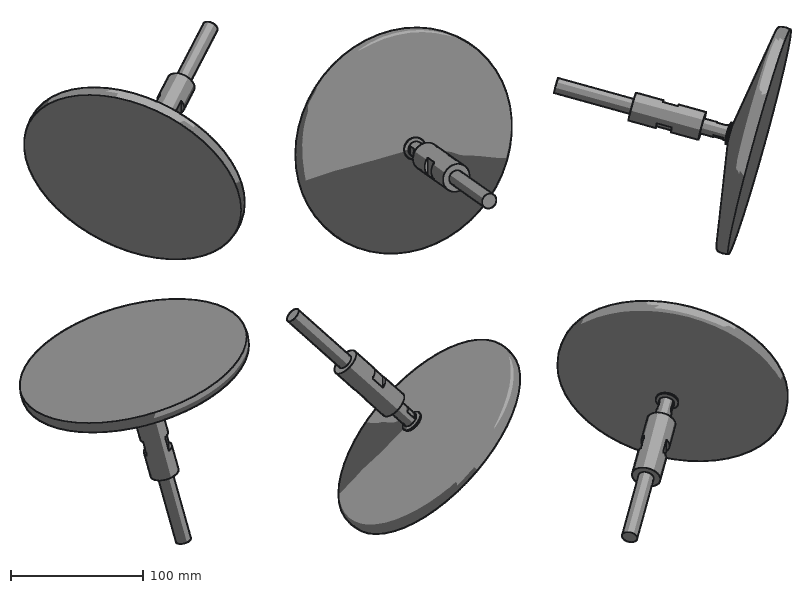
import cadquery as cq

overall_length = 160.0
rim_widest_y = 4.3
rim_shoulder_y = 7.1
cone_start_y = 9.8
cone_end_y = 22.8
neck_top_y = 23.5
collar_edge_y = 24.4
collar_top_y = 25.5

foot_diameter = 178.0
underside_diameter = 177.0
shoulder_diameter = 177.3
cone_start_diameter = 172.3
cone_end_diameter = 17.5
neck_diameter = 16.7
collar_diameter = 17.6

spindle_diameter = 12.0
spindle_flat_width = 10.0
spindle_flat_length = 7.8
spindle_flat_start_y = 27.0

sleeve_diameter = 22.0
sleeve_length = 55.0
sleeve_start_y = 45.0
sleeve_flat_width = 17.0
sleeve_flat_length = 12.0
sleeve_flat_start_y = sleeve_start_y + (sleeve_length - sleeve_flat_length) / 2


def rod(diameter, start_y, length):
    """Cylinder along +Y, centred on the Y axis."""
    return (
        cq.Workplane("XZ", origin=(0, start_y, 0))
        .circle(diameter / 2)
        .extrude(-length)
    )


def cut_wrench_flats(body, diameter, flat_width, start_y, length):
    """Cut a pair of parallel flats facing -X and +X."""
    middle_y = start_y + length / 2
    for side in (-1, 1):
        cutter_x = side * (flat_width + diameter) / 2
        cutter = cq.Workplane("XY", origin=(cutter_x, middle_y, 0)).box(diameter, length, 2 * diameter)
        body = body.cut(cutter)
    return body


def make_foot():
    """Conical foot with a rounded rim and a small flared collar under the spindle."""
    return (
        cq.Workplane("XY")
        .lineTo(underside_diameter / 2, 0)
        .lineTo(foot_diameter / 2, rim_widest_y)
        .lineTo(shoulder_diameter / 2, rim_shoulder_y)
        .tangentArcPoint((cone_start_diameter / 2, cone_start_y), relative=False)
        .lineTo(cone_end_diameter / 2, cone_end_y)
        .lineTo(neck_diameter / 2, cone_end_y)
        .lineTo(neck_diameter / 2, neck_top_y)
        .lineTo(collar_diameter / 2, collar_edge_y)
        .lineTo(spindle_diameter / 2, collar_top_y)
        .lineTo(0, collar_top_y)
        .close()
        .revolve(360, (0, 0, 0), (0, 1, 0))
    )


def make_spindle():
    """Plain round spindle standing on the collar, with wrench flats near its lower end."""
    body = rod(spindle_diameter, collar_top_y, overall_length - collar_top_y)
    return cut_wrench_flats(
        body, spindle_diameter, spindle_flat_width, spindle_flat_start_y, spindle_flat_length
    )


def make_sleeve():
    """Sleeve around the spindle, with wrench flats at half its length."""
    body = rod(sleeve_diameter, sleeve_start_y, sleeve_length)
    body = cut_wrench_flats(
        body, sleeve_diameter, sleeve_flat_width, sleeve_flat_start_y, sleeve_flat_length
    )
    bore = rod(spindle_diameter, sleeve_start_y, sleeve_length)
    return body.cut(bore)


foot = make_foot()
spindle = make_spindle()
sleeve = make_sleeve()

result = cq.Compound.makeCompound([foot.val(), spindle.val(), sleeve.val()])